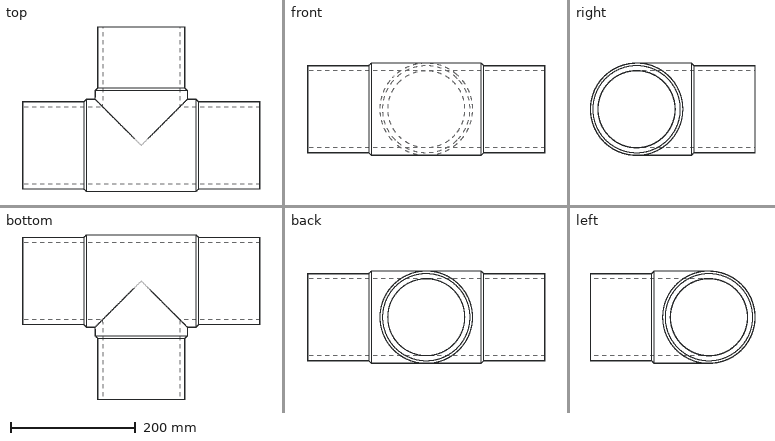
import cadquery as cq

pipe_diameter = 140.0
wall = 8.3
end_reach = 190.0
body_reach = 92.0

pipe_radius = pipe_diameter / 2
bore_radius = pipe_radius - wall
body_step = wall / 2
body_radius = pipe_radius + body_step


def run_cylinder(radius, reach):
    """Solid cylinder along X, centred on the tee centre."""
    return cq.Workplane("YZ").circle(radius).extrude(reach, both=True)


def branch_cylinder(radius, reach):
    """Solid cylinder from the tee centre out along +Y."""
    return cq.Workplane("XZ").circle(radius).extrude(-reach)


def make_body():
    """Thickened tee body with a chamfer at each of its three shoulders."""
    run = run_cylinder(body_radius, body_reach).edges("%CIRCLE").chamfer(body_step)
    branch = branch_cylinder(body_radius, body_reach).edges(">Y").chamfer(body_step)
    return run.union(branch)


def make_tee(radius):
    """Solid tee of one radius, reaching to all three open ends."""
    return run_cylinder(radius, end_reach).union(branch_cylinder(radius, end_reach))


outside = make_body().union(make_tee(pipe_radius))
bore = make_tee(bore_radius)
result = outside.cut(bore)